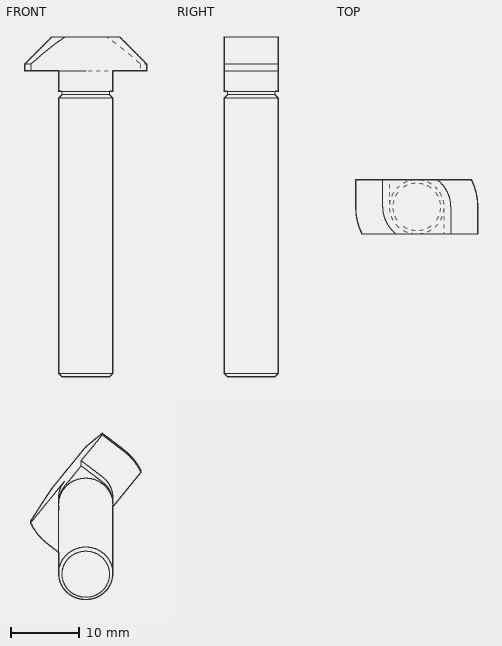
import cadquery as cq

total_length = 50.0
head_length = 18.0
shank_diameter = 8.0

head_height = 5.0
head_rim_height = 1.0
neck_height = 3.0

groove_diameter = 7.0
groove_height = 1.0
tip_chamfer = 0.5

shank_radius = shank_diameter / 2
groove_radius = groove_diameter / 2
groove_flank = shank_radius - groove_radius
head_reach = head_length / 2
head_slope = head_height - head_rim_height
head_top_reach = head_reach - head_slope
head_bottom = total_length - head_height
neck_bottom = head_bottom - neck_height
groove_bottom = neck_bottom - groove_height


def head_half_profile():
    """Half section of the head and neck in the XZ plane, from the axis outwards."""
    return (
        cq.Workplane("XZ")
        .moveTo(0, neck_bottom)
        .lineTo(shank_radius, neck_bottom)
        .lineTo(shank_radius, head_bottom)
        .lineTo(head_reach, head_bottom)
        .lineTo(head_reach, head_bottom + head_rim_height)
        .lineTo(head_top_reach, total_length)
        .lineTo(0, total_length)
        .close()
    )


def head_half():
    """The +X half of the head: straight towards -Y, turned about Z towards +Y."""
    straight_quarter = head_half_profile().extrude(shank_radius)
    side_limit = cq.Workplane("XY").box(
        head_reach, shank_radius, total_length, centered=False
    )
    turned_quarter = head_half_profile().revolve(360, (0, 0), (0, 1)).intersect(side_limit)
    return straight_quarter.union(turned_quarter)


def shank():
    """Round shank with a chamfered tip and an undercut below the neck."""
    return (
        cq.Workplane("XZ")
        .lineTo(shank_radius - tip_chamfer, 0)
        .lineTo(shank_radius, tip_chamfer)
        .lineTo(shank_radius, groove_bottom)
        .lineTo(groove_radius, groove_bottom + groove_flank)
        .lineTo(groove_radius, neck_bottom)
        .lineTo(0, neck_bottom)
        .close()
        .revolve(360, (0, 0), (0, 1))
    )


head = head_half().union(head_half().rotate((0, 0, 0), (0, 0, 1), 180))
result = shank().union(head)